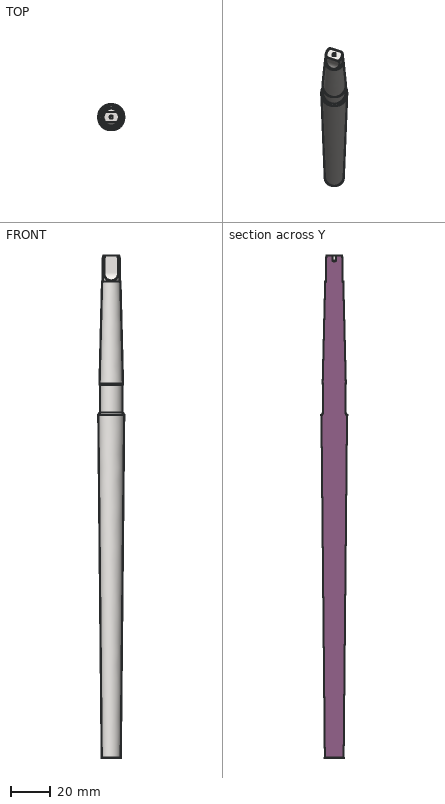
import cadquery as cq
import math

total_length = 257.0
tang_length = 13.4
shank_length = 65.5
neck_length = 15.0
tang_base_z = total_length - tang_length
shank_base_z = total_length - shank_length
body_top_z = shank_base_z - neck_length

tang_diameter = 8.7
shank_small_diameter = 9.5
shank_taper = 1 / 20.047
shank_large_diameter = shank_small_diameter + shank_taper * (shank_length - tang_length)
neck_diameter = 11.5
body_diameter = 13.4
body_taper = 1 / 50

tang_chamfer_width = 0.39
tang_chamfer_height = 1.5
neck_step_height = 0.8
body_chamfer_height = 1.3

tang_thickness = 5.1
flat_length = 9.0
flat_runout_radius = 5.0
center_hole_diameter = 1.5
center_hole_depth = 2.5
drill_point_angle = 60.0


def make_turned_blank():
    """Revolve the half outline of all turned steps about Z."""
    body_edge_z = body_top_z - body_chamfer_height
    tip_diameter = body_diameter - body_taper * body_edge_z
    tang_radius = tang_diameter / 2
    outline = [
        (0, 0),
        (tip_diameter / 2, 0),
        (body_diameter / 2, body_edge_z),
        (neck_diameter / 2, body_top_z),
        (neck_diameter / 2, shank_base_z - neck_step_height),
        (shank_large_diameter / 2, shank_base_z),
        (shank_small_diameter / 2, tang_base_z),
        (tang_radius, tang_base_z),
        (tang_radius, total_length - tang_chamfer_height),
        (tang_radius - tang_chamfer_width, total_length),
        (0, total_length),
    ]
    return cq.Workplane("XZ").polyline(outline).close().revolve(360, (0, 0), (0, 1))


def make_flat_cutter():
    """Cutter for the +Y flat, ending in a concave runout towards the shank."""
    flat_y = tang_thickness / 2
    runout_z = total_length - flat_length
    radius = flat_runout_radius
    half_sine = radius * math.sin(math.radians(45))
    return (
        cq.Workplane("YZ")
        .moveTo(flat_y, total_length)
        .lineTo(flat_y, runout_z)
        .threePointArc(
            (flat_y + radius - half_sine, runout_z - half_sine),
            (flat_y + radius, runout_z - radius),
        )
        .lineTo(flat_y + radius, total_length)
        .close()
        .extrude(tang_diameter, both=True)
    )


def make_center_hole():
    """Centre hole with a conical bottom in the end of the tang."""
    hole_radius = center_hole_diameter / 2
    hole_bottom_z = total_length - center_hole_depth
    point_depth = hole_radius / math.tan(math.radians(drill_point_angle))
    outline = [
        (0, total_length),
        (hole_radius, total_length),
        (hole_radius, hole_bottom_z),
        (0, hole_bottom_z - point_depth),
    ]
    return cq.Workplane("XZ").polyline(outline).close().revolve(360, (0, 0), (0, 1))


flat_cutter = make_flat_cutter()
result = (
    make_turned_blank()
    .cut(flat_cutter)
    .cut(flat_cutter.mirror("XZ"))
    .cut(make_center_hole())
)